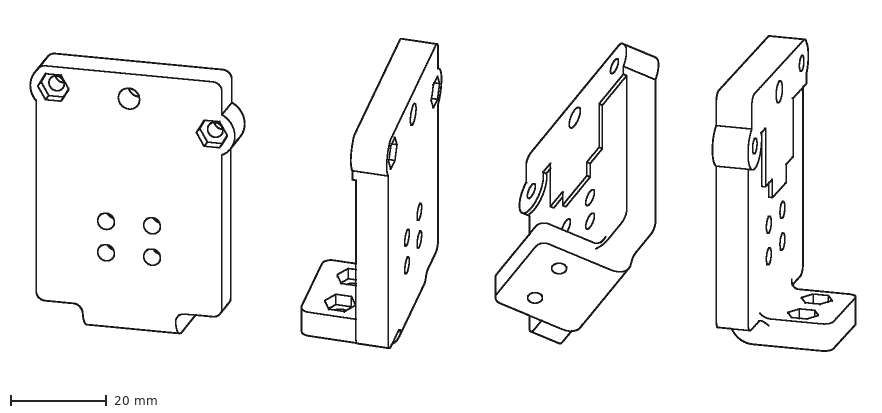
import cadquery as cq

plate_width = 40.4
plate_height = 52.4
plate_thickness = 7.0
corner_radius = 2.0
plate_left = -plate_width / 2

foot_width = plate_width / 2
foot_thickness = 6.0
foot_length = 22.0
bend_radius = 5.0
blend_radius = 2.0
blend_middle = blend_radius * (1 - 0.5 ** 0.5)

pad_thickness = 0.8
back_face = plate_thickness + pad_thickness
pad_steps = [
    (plate_width, 10.3),
    (plate_width / 2, 23.25),
    (plate_width / 4, 27.3),
]

ear_radius = 5.0
ear_drop = 7.0
left_ear = (-16.47, plate_height - 4.65)
right_ear = (18.0, left_ear[1] - ear_drop)
ear_top_limit = plate_height - corner_radius / 4

nut_flats = 5.8
nut_depth = 2.6
ear_hole_diameter = 3.3
foot_hole_diameter = 3.1
foot_hole_spacing = 10.0
foot_hole_y = 14.5

top_hole_diameter = 4.6
top_hole_z = plate_height - 5.55
grid_hole_diameter = 3.6
grid_spacing_x = 10.0
grid_spacing_z = 7.0
grid_lower_z = 12.0


def front_block(x, z, width, height, y_start, y_end):
    """Box with its lower left corner at (x, z), between two Y positions."""
    return cq.Workplane("XY").box(width, y_end - y_start, height, centered=False).translate((x, y_start, z))


def rod(x, z, diameter):
    """Cylinder along Y through the plate and the raised area."""
    return cq.Workplane("XZ").center(x, z).circle(diameter / 2).extrude(-back_face)


def nut_prism(depth):
    """Upright hexagonal prism with corners on the X axis and its base on Z = 0."""
    across_corners = nut_flats * 2 / 3 ** 0.5
    return cq.Workplane("XY").polygon(6, across_corners).extrude(depth)


def make_plate():
    blank = front_block(plate_left, 0, plate_width, plate_height, 0, plate_thickness)
    return blank.edges("|Y").fillet(corner_radius)


def make_foot():
    foot = front_block(-foot_width / 2, -foot_thickness, foot_width, foot_thickness, 0, foot_length)
    return foot.edges("|Z and >Y").fillet(corner_radius)


def flared_outline(plane, root):
    """Outline as wide as the foot that flares out to both sides at a wall.

    The wall lies at zero on the second axis of the plane and the foot leaves
    it in the negative direction. The outline goes on past the wall to root.
    """
    foot_side = foot_width / 2
    flare_side = foot_side + blend_radius
    return (
        cq.Workplane(plane)
        .moveTo(-foot_side, -blend_radius)
        .threePointArc((-foot_side - blend_middle, -blend_middle), (-flare_side, 0))
        .lineTo(-flare_side, root)
        .lineTo(flare_side, root)
        .lineTo(flare_side, 0)
        .threePointArc((foot_side + blend_middle, -blend_middle), (foot_side, -blend_radius))
        .close()
    )


def make_collar():
    """Concave blend around the foot where it meets the bottom and back of the plate."""
    depth = plate_thickness + blend_radius
    seen_along_y = flared_outline("XZ", blend_radius).extrude(-depth)
    seen_along_z = (
        flared_outline("XY", plate_thickness)
        .extrude(2 * blend_radius)
        .mirror("XZ")
        .translate((0, plate_thickness, -blend_radius))
    )
    seen_along_x = (
        cq.Workplane("YZ")
        .moveTo(0, -blend_radius)
        .lineTo(depth, -blend_radius)
        .lineTo(depth, 0)
        .threePointArc((plate_thickness + blend_middle, blend_middle), (plate_thickness, blend_radius))
        .lineTo(0, blend_radius)
        .close()
        .extrude(plate_width / 2, both=True)
    )
    return seen_along_y.intersect(seen_along_z).intersect(seen_along_x)


def make_bend_relief():
    """Material outside the rounded lower front edge of the bend."""
    relief_width = foot_width + 2 * blend_radius
    block = front_block(-relief_width / 2, -foot_thickness, relief_width, bend_radius, 0, bend_radius)
    round_bar = (
        cq.Workplane("YZ")
        .center(bend_radius, bend_radius - foot_thickness)
        .circle(bend_radius)
        .extrude(relief_width / 2, both=True)
    )
    return block.cut(round_bar)


def join_plate_and_foot():
    """Join both walls with the collar and round the outside of the bend."""
    joined = make_plate().union(make_foot()).union(make_collar())
    return joined.cut(make_bend_relief())


def make_pad():
    """Stepped raised area, starting at the top edge of the plate."""
    outline = make_plate().translate((0, pad_thickness, 0))
    pad = cq.Workplane("XY")
    for width, drop in pad_steps:
        step = front_block(-width / 2, plate_height - drop, width, drop, plate_thickness, back_face)
        pad = pad.add(step)
    return pad.combine().intersect(outline)


def make_ears():
    """Both ears, kept below the rounded top corners of the plate."""
    ears = rod(*left_ear, 2 * ear_radius).union(rod(*right_ear, 2 * ear_radius))
    room = front_block(-plate_width, 0, 2 * plate_width, ear_top_limit, 0, back_face)
    return ears.intersect(room)


def cut_ear_holes(body):
    for x, z in (left_ear, right_ear):
        pocket = nut_prism(nut_depth).rotate((0, 0, 0), (1, 0, 0), -90).translate((x, 0, z))
        body = body.cut(rod(x, z, ear_hole_diameter)).cut(pocket)
    return body


def cut_plate_holes(body):
    body = body.cut(rod(0, top_hole_z, top_hole_diameter))
    for x in (-grid_spacing_x / 2, grid_spacing_x / 2):
        for z in (grid_lower_z, grid_lower_z + grid_spacing_z):
            body = body.cut(rod(x, z, grid_hole_diameter))
    return body


def cut_foot_holes(body):
    for x in (-foot_hole_spacing / 2, foot_hole_spacing / 2):
        hole = cq.Workplane("XY").circle(foot_hole_diameter / 2).extrude(-foot_thickness)
        pocket = nut_prism(-nut_depth).rotate((0, 0, 0), (0, 0, 1), 90)
        body = body.cut(hole.union(pocket).translate((x, foot_hole_y, 0)))
    return body


body = join_plate_and_foot().union(make_pad()).union(make_ears())
body = cut_ear_holes(body)
body = cut_plate_holes(body)
result = cut_foot_holes(body)